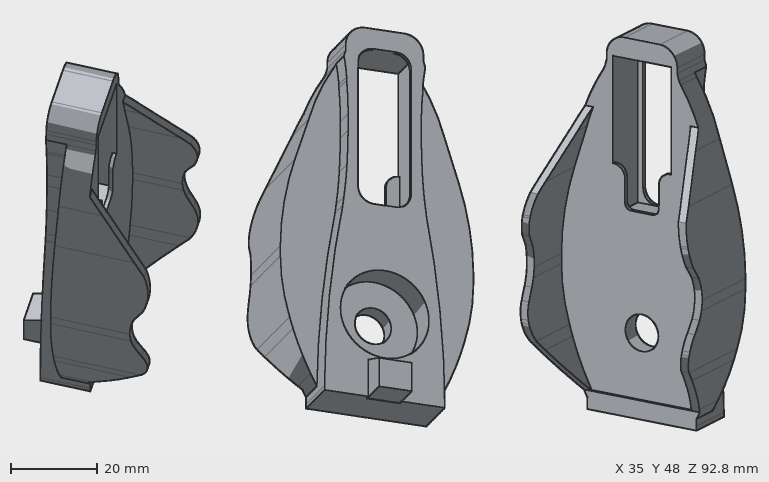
import cadquery as cq

plate_depth = 12.1
wing_front = 5.0
wing_tip = 28.0
wing_dip = 24.0
wing_wall = 2.0

total_height = 92.8
plate_bottom = 0.2

head_half_width = 9.65
head_radius = 4.8
head_straight_end = 86.6
shoulder_half_width = 10.1
shoulder_height = 84.9
waist_half_width = 9.1
waist_top = 70.6
waist_bottom = 66.5
foot_half_width = 14.9
foot_straight_top = 1.4

wing_bottom = 3.1
overall_width = 48.0
wing_half_width = overall_width / 2
wing_straight_top = 37.1
wing_straight_bottom = 34.6

flare_bottom = 4.8
lower_lobe_height = 24.4
dip_height = 37.1
upper_lobe_height = 50.4
flare_top = 74.35

slot_half_width = 6.6
slot_top = 87.8
slot_bottom = 48.8
slot_radius = 3.9
chamber_half_width = 8.0
rim_depth = 1.0
ledge = 1.95
ledge_top = 61.5
ledge_radius = 3.1
neck_radius = 1.9

bore_height = 21.4
bore_diameter = 9.0
counterbore_diameter = 22.0
counterbore_depth = 7.5

tab_reach = 7.0
tab_half_width = 4.1
tab_front_height = 7.15
tab_root_height = 9.5
tab_embed = 0.9


def prism(outline, x_start, x_end):
    """Extrude a closed outline, sketched in Y and Z, between two X depths."""
    return outline.extrude(x_end - x_start).translate((x_start, 0, 0))


def plate_outline():
    """Plate silhouette: rounded head, slim waist and flared foot."""
    corner_height = total_height - head_radius
    crown_half_width = head_half_width - head_radius
    return (
        cq.Workplane("YZ")
        .moveTo(0, plate_bottom)
        .lineTo(foot_half_width, plate_bottom)
        .lineTo(foot_half_width, foot_straight_top)
        .threePointArc((13.55, 26.0), (10.4, 47.4))
        .lineTo(10.1, 49.7)
        .threePointArc((9.65, 53.8), (9.4, 57.8))
        .threePointArc((9.2, 62.2), (waist_half_width, waist_bottom))
        .lineTo(waist_half_width, waist_top)
        .threePointArc((9.2, 74.8), (9.5, 79.0))
        .lineTo(9.5, 79.8)
        .threePointArc((9.7, 82.5), (shoulder_half_width, shoulder_height))
        .lineTo(head_half_width, head_straight_end)
        .lineTo(head_half_width, corner_height)
        .radiusArc((crown_half_width, total_height), -head_radius)
        .lineTo(0, total_height)
        .mirrorY()
    )


def wing_outline():
    """Leaf-shaped silhouette of both wings together."""
    return (
        cq.Workplane("YZ")
        .moveTo(0, wing_bottom)
        .lineTo(foot_half_width, wing_bottom)
        .lineTo(16.5, 6.1)
        .threePointArc((18.9, 11.4), (20.9, 16.8))
        .lineTo(21.7, 19.6)
        .threePointArc((23.4, 26.9), (wing_half_width, wing_straight_bottom))
        .lineTo(wing_half_width, wing_straight_top)
        .threePointArc((23.0, 48.45), (20.3, 59.5))
        .lineTo(16.9, 70.1)
        .threePointArc((14.3, 77.2), (10.6, 84.0))
        .lineTo(shoulder_half_width, shoulder_height)
        .lineTo(0, shoulder_height)
        .mirrorY()
    )


def side_profile():
    """Side silhouette of the wings: two rounded finger lobes with a dip between."""
    return (
        cq.Workplane("XZ")
        .moveTo(wing_front, 0)
        .lineTo(plate_depth, 0)
        .lineTo(plate_depth, flare_bottom)
        .lineTo(26.2, 19.6)
        .threePointArc((wing_tip, lower_lobe_height), (26.7, 29.4))
        .lineTo(25.1, 32.5)
        .threePointArc((wing_dip, dip_height), (25.1, 42.6))
        .lineTo(27.0, 45.7)
        .threePointArc((wing_tip, upper_lobe_height), (26.7, 56.25))
        .lineTo(plate_depth, flare_top)
        .lineTo(plate_depth, total_height)
        .lineTo(wing_front, total_height)
        .close()
        .extrude(wing_half_width, both=True)
    )


def wings():
    """Solid leaf behind the plate that opens into two thin curved walls."""
    body = prism(wing_outline(), wing_front, wing_tip)
    hollow = prism(wing_outline().offset2D(-wing_wall), plate_depth, wing_tip)
    return body.cut(hollow).intersect(side_profile())


def slot():
    """Chamber behind a rounded front rim, closed at the back by a low U-shaped rim."""
    slot_height = slot_top - slot_bottom
    middle = cq.Workplane("YZ").center(0, slot_bottom + slot_height / 2)
    front_opening = (
        prism(middle.rect(2 * slot_half_width, slot_height), 0, rim_depth)
        .edges("|X")
        .fillet(slot_radius)
    )
    back_rim_front = plate_depth - rim_depth
    chamber = prism(middle.rect(2 * chamber_half_width, slot_height), rim_depth, back_rim_front)
    neck_half_width = slot_half_width - ledge
    neck_bottom = slot_bottom + ledge
    back_outline = (
        cq.Workplane("YZ")
        .moveTo(0, neck_bottom)
        .lineTo(neck_half_width - neck_radius, neck_bottom)
        .radiusArc((neck_half_width, neck_bottom + neck_radius), -neck_radius)
        .lineTo(neck_half_width, ledge_top - ledge_radius)
        .radiusArc((neck_half_width + ledge_radius, ledge_top), ledge_radius)
        .lineTo(chamber_half_width, ledge_top)
        .lineTo(chamber_half_width, slot_top)
        .lineTo(0, slot_top)
        .mirrorY()
    )
    back_opening = prism(back_outline, back_rim_front, plate_depth)
    return front_opening.union(chamber).union(back_opening)


def bore():
    """Through hole with a counterbore opening at the front."""
    axis = cq.Workplane("YZ").center(0, bore_height)
    hole = prism(axis.circle(bore_diameter / 2), 0, plate_depth)
    counterbore = prism(axis.circle(counterbore_diameter / 2), 0, counterbore_depth)
    return hole.union(counterbore)


def tab():
    """Locating block on the front of the foot, with a sloping top."""
    return (
        cq.Workplane("XZ")
        .moveTo(-tab_reach, 0)
        .lineTo(tab_embed, 0)
        .lineTo(tab_embed, tab_root_height)
        .lineTo(0, tab_root_height)
        .lineTo(-tab_reach, tab_front_height)
        .close()
        .extrude(tab_half_width, both=True)
    )


plate = prism(plate_outline(), 0, plate_depth)
result = plate.union(wings()).cut(slot()).cut(bore()).union(tab())